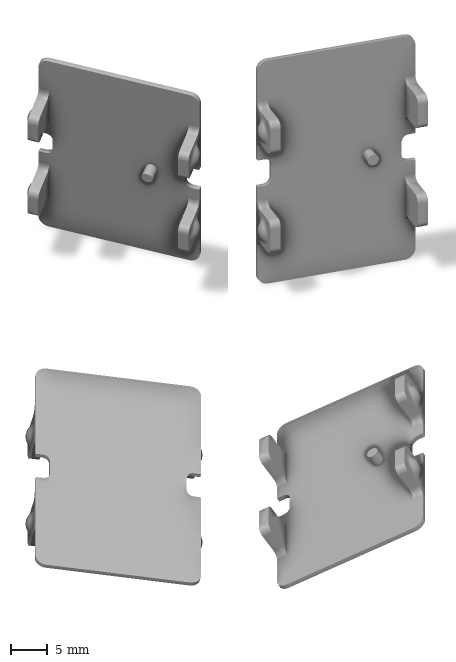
import cadquery as cq
import math

plate_height = 34.35
plate_width = 23.0
plate_thickness = 0.65
plate_corner_radius = 1.5

notch_depth = 2.0
notch_height = 4.05

bend_radius = 1.0
tab_reach = 5.6
tab_height = 4.98
tab_thickness = 1.5
tab_offset = 7.63

dome_height = 0.75
dome_sphere_radius = 2 * bend_radius
dome_setback = 3.1

pin_diameter = 1.6
pin_length = 1.92
pin_x = 4.65
pin_z = 0.1

half_width = plate_width / 2


def make_plate():
    plate = (
        cq.Workplane("XZ")
        .rect(plate_width, plate_height)
        .extrude(plate_thickness)
        .edges("|Y")
        .fillet(plate_corner_radius)
    )
    notches = (
        cq.Workplane("XZ")
        .pushPoints([(-half_width, 0), (half_width, 0)])
        .rect(2 * notch_depth, notch_height)
        .extrude(plate_thickness)
        .edges("|Y")
        .fillet(bend_radius)
    )
    return plate.cut(notches)


def make_tab(z_center):
    """Tab on the -X edge with rounded tip corners and concave root fillets."""
    half_height = tab_height / 2
    root_half_height = half_height + bend_radius
    straight_half_height = half_height - bend_radius
    front = -plate_thickness
    tip = -tab_reach
    diagonal = bend_radius * math.sqrt(0.5)

    root_end = front - bend_radius
    tip_start = tip + bend_radius
    root_mid = (root_end + diagonal, root_half_height - diagonal)
    tip_mid = (tip_start - diagonal, straight_half_height + diagonal)

    return (
        cq.Workplane("YZ", origin=(-half_width, 0, z_center))
        .moveTo(0, -root_half_height)
        .lineTo(front, -root_half_height)
        .threePointArc((root_mid[0], -root_mid[1]), (root_end, -half_height))
        .lineTo(tip_start, -half_height)
        .threePointArc((tip_mid[0], -tip_mid[1]), (tip, -straight_half_height))
        .lineTo(tip, straight_half_height)
        .threePointArc(tip_mid, (tip_start, half_height))
        .lineTo(root_end, half_height)
        .threePointArc(root_mid, (front, root_half_height))
        .lineTo(0, root_half_height)
        .close()
        .extrude(tab_thickness)
    )


def make_dome(z_center):
    """Spherical cap blended into the -X tab face by a tangent concave arc."""
    arc_angle = math.acos(1 - dome_height / (dome_sphere_radius + bend_radius))
    sphere_center = dome_height - dome_sphere_radius
    foot_radius = (dome_sphere_radius + bend_radius) * math.sin(arc_angle)

    def on_sphere(angle):
        return (
            -sphere_center - dome_sphere_radius * math.cos(angle),
            dome_sphere_radius * math.sin(angle),
        )

    def on_foot(angle):
        return (
            -bend_radius * (1 - math.cos(angle)),
            foot_radius - bend_radius * math.sin(angle),
        )

    embed = tab_thickness / 2
    return (
        cq.Workplane("XY", origin=(-half_width, -dome_setback, z_center))
        .moveTo(embed, 0)
        .lineTo(-dome_height, 0)
        .threePointArc(on_sphere(arc_angle / 2), on_sphere(arc_angle))
        .threePointArc(on_foot(arc_angle / 2), (0, foot_radius))
        .lineTo(embed, foot_radius)
        .close()
        .revolve(360, (0, 0, 0), (1, 0, 0))
    )


def make_pin():
    return (
        cq.Workplane("XZ")
        .center(pin_x, pin_z)
        .circle(pin_diameter / 2)
        .extrude(plate_thickness + pin_length)
    )


result = make_plate().union(make_pin())
for z_center in (-tab_offset, tab_offset):
    domed_tab = make_tab(z_center).union(make_dome(z_center))
    result = result.union(domed_tab).union(domed_tab.mirror("YZ"))